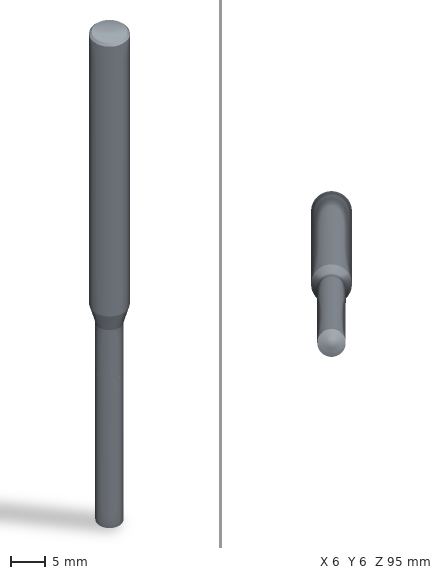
import cadquery as cq
import math

total_length = 95.0
shank_diameter = 6.0
neck_diameter = 4.2
cutting_length = 29.5
neck_length = 9.5
taper_length = 3.4
end_chamfer = 0.4
point_angle = 140.0

shank_radius = shank_diameter / 2
neck_radius = neck_diameter / 2
point_height = neck_radius / math.tan(math.radians(point_angle / 2))
taper_bottom = cutting_length + neck_length
taper_top = taper_bottom + taper_length


def revolve_about_z(plane, half_profile):
    """Turn a closed (radial position, height) outline a full circle about Z."""
    return (
        cq.Workplane(plane)
        .polyline(half_profile)
        .close()
        .revolve(360, (0, 0), (0, 1))
    )


def make_shank():
    """Chamfered cylindrical shank with a taper down to a slim neck."""
    return revolve_about_z("YZ", [
        (0, cutting_length),
        (-neck_radius, cutting_length),
        (-neck_radius, taper_bottom),
        (-shank_radius, taper_top),
        (-shank_radius, total_length - end_chamfer),
        (-shank_radius + end_chamfer, total_length),
        (0, total_length),
    ])


def make_cutting_head():
    """Plain cylindrical cutting head ending in a conical point."""
    return revolve_about_z("XZ", [
        (0, 0),
        (-neck_radius, point_height),
        (-neck_radius, cutting_length),
        (0, cutting_length),
    ])


shank = make_shank()
cutting_head = make_cutting_head()

result = cq.Compound.makeCompound([shank.val(), cutting_head.val()])